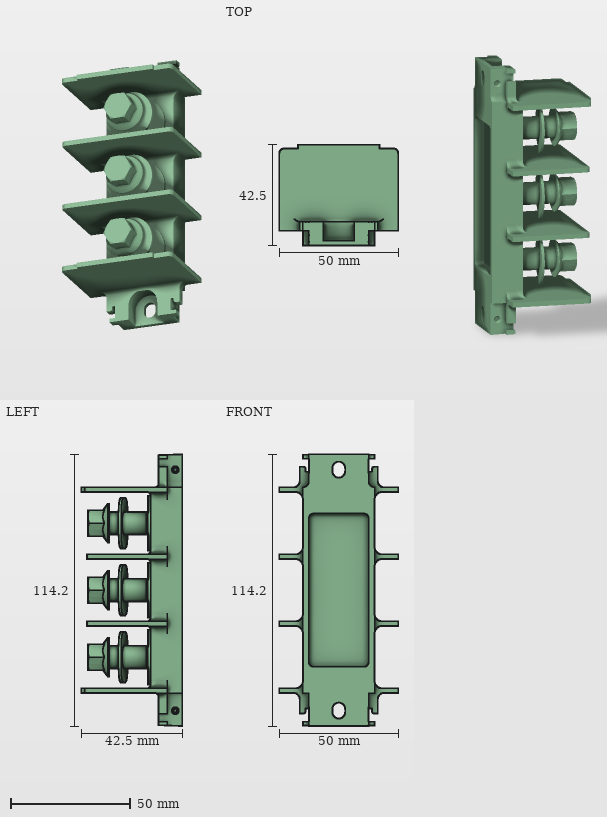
import cadquery as cq
import math


length = 114.2
body_length = 86.5
body_half_width = 15.1
body_back = 13.4
end_half_width = 12.6
end_back = 10.0
end_draft = 2.0
step_depth = 6.3
notch_radius = 2.5

ear_half_width = 16.5
ear_inner_half_width = 13.9
ear_top = 51.8
ear_floor = 49.8
ear_tip_radius = 0.9
tab_thickness = 1.9

plate_thickness = 2.0
plate_half_width = 25.0
plate_back = 40.1
end_plate_shoulder = 40.9
end_plate_back = 42.5
end_plate_tongue_half_width = 17.1
plate_corner_radius = 2.0
plate_offset = (body_length - plate_thickness) / 2
plate_pitch = 2 * plate_offset / 3
body_cove_radius = 3.1
ear_cove_radius = 2.5
back_cove_radius = 1.4

slot_offset = 50.6
slot_length = 6.6
slot_width = 5.3
counterbore_floor = 2.2
counterbore_radius = 6.5

dimple_y = 3.0
dimple_mouth_radius = 1.5
dimple_floor_radius = 0.8
dimple_depth = 1.0

pocket_half_width = 12.6
pocket_half_length = 32.2
pocket_depth = 3.8
pocket_draft = 9.0
pocket_corner_radius = 2.0
pocket_floor_fillet = 1.0

pad_radius = 11.5
pad_thickness = 1.08
pad_back = body_back + pad_thickness

screw_count = 3
shank_radius = 4.8
shank_chamfer = 0.7
flange_start = 30.7
flange_edge = 31.3
flange_radius = 8.2
cone_top = 33.3
head_top = 39.6
hex_across_flats = 11.0
hex_land_width = 1.3
head_radius = math.hypot(hex_across_flats, hex_land_width) / 2
hex_chamfer_angle = 30.0

washer_radius = 10.7
washer_thickness = 1.1
washer_middle = 24.9
washer_wave = 1.4


def box(half_width, y_start, y_end, z_start, z_end):
    """Block centred on X between two Y and two Z levels."""
    return cq.Workplane("XY").box(
        2 * half_width, y_end - y_start, z_end - z_start, centered=(True, False, False)
    ).translate((0, y_start, z_start))


def front_sketch(y):
    """Plane facing -Y at the given depth: local x is X, local y is Z, extrusion by -d goes towards +Y."""
    return cq.Workplane("XZ", origin=(0, y, 0))


def mirror_in_z(solid):
    return solid.mirror("XY")


def side_cove(half_width, radius, z, direction, y_start, y_end):
    """Block that flares by a concave arc on both sides as it comes down to the level z."""
    far_z = z + direction * radius
    sag = radius * (1 - math.sqrt(0.5))
    mid_z = z + direction * sag
    return (
        front_sketch(y_start)
        .moveTo(-half_width - radius, z)
        .threePointArc((-half_width - sag, mid_z), (-half_width, far_z))
        .lineTo(half_width, far_z)
        .threePointArc((half_width + sag, mid_z), (half_width + radius, z))
        .close()
        .extrude(y_start - y_end)
    )


def plate_cove(half_width, back, z, direction, side_radius):
    """Coves joining a plate face at level z to the sides and the back of the block it grows from."""
    sides = side_cove(half_width, side_radius, z, direction, step_depth, back + back_cove_radius)
    sag = back_cove_radius * (1 - math.sqrt(0.5))
    far_z = z + direction * side_radius
    reach = half_width + side_radius
    back_profile = (
        cq.Workplane("YZ", origin=(-reach, 0, 0))
        .moveTo(step_depth, z)
        .lineTo(back + back_cove_radius, z)
        .threePointArc((back + sag, z + direction * sag), (back, z + direction * back_cove_radius))
        .lineTo(back, far_z)
        .lineTo(step_depth, far_z)
        .close()
        .extrude(2 * reach)
    )
    return sides.intersect(back_profile)


def barrier_plate(z, back):
    """Plate centred on the level z with its two far corners rounded."""
    half = plate_thickness / 2
    plate = box(plate_half_width, step_depth, back, z - half, z + half)
    return plate.edges("|Z and >Y").fillet(plate_corner_radius)


def middle_plate():
    """Upper middle plate, coved into the body on both faces."""
    z = plate_pitch / 2
    half = plate_thickness / 2
    plate = barrier_plate(z, plate_back)
    for direction in (-1, 1):
        face_z = z + direction * half
        plate = plate.union(plate_cove(body_half_width, body_back, face_z, direction, body_cove_radius))
    return plate


def end_plate():
    """Upper end plate with a tongue on its far edge, coved into the body below and the ears above."""
    bottom = plate_offset - plate_thickness / 2
    top = plate_offset + plate_thickness / 2
    plate = barrier_plate(plate_offset, end_plate_shoulder)
    plate = plate.union(box(end_plate_tongue_half_width, step_depth, end_plate_back, bottom, top))
    plate = plate.union(plate_cove(body_half_width, body_back, bottom, -1, body_cove_radius))
    return plate.union(plate_cove(ear_half_width, end_back, top, 1, ear_cove_radius))


def left_ear():
    """Ear on the -X side, with the inner corner of its tip rounded, reaching in to the centre plane."""
    sag = ear_tip_radius * (1 - math.sqrt(0.5))
    return (
        front_sketch(step_depth)
        .moveTo(0, body_length / 2)
        .lineTo(-ear_half_width, body_length / 2)
        .lineTo(-ear_half_width, ear_top)
        .lineTo(-ear_inner_half_width - ear_tip_radius, ear_top)
        .threePointArc(
            (-ear_inner_half_width - sag, ear_top - sag),
            (-ear_inner_half_width, ear_top - ear_tip_radius),
        )
        .lineTo(-ear_inner_half_width, ear_floor)
        .lineTo(0, ear_floor)
        .close()
        .extrude(step_depth - end_back)
    )


def mounting_end():
    """Upper mounting end with its ears and tabs, under a slightly leaning end face."""
    top = length / 2
    back_top = top - end_back * math.tan(math.radians(end_draft))
    end = box(end_half_width, 0, end_back, 0, top)
    tabs = box(body_half_width, step_depth, end_back, top - tab_thickness, top)
    ear = left_ear()
    leaning_envelope = (
        cq.Workplane("YZ", origin=(-ear_half_width, 0, 0))
        .polyline([(0, 0), (end_back, 0), (end_back, back_top), (0, top)])
        .close()
        .extrude(2 * ear_half_width)
    )
    return end.union(tabs).union(ear).union(ear.mirror("YZ")).intersect(leaning_envelope)


def slot_and_counterbore():
    """Upper mounting slot and the counterbore around it, open to the end of the housing."""
    slot = (
        front_sketch(0).center(0, slot_offset).slot2D(slot_length, slot_width, 90).extrude(-end_back)
    )
    bore = (
        front_sketch(counterbore_floor)
        .center(0, slot_offset)
        .circle(counterbore_radius)
        .extrude(counterbore_floor - end_back)
    )
    opening = box(counterbore_radius, counterbore_floor, end_back, slot_offset, length / 2)
    return slot.union(bore).union(opening)


def dimples():
    """Conical dimples on both sides of the upper mounting end."""
    dimple = cq.Solid.makeCone(
        dimple_mouth_radius,
        dimple_floor_radius,
        dimple_depth,
        pnt=cq.Vector(-end_half_width, dimple_y, slot_offset),
        dir=cq.Vector(1, 0, 0),
    )
    left = cq.Workplane(obj=dimple)
    return left.union(left.mirror("YZ"))


def front_pocket():
    """Drafted pocket in the mounting face with a rounded floor edge."""
    return (
        front_sketch(0)
        .sketch()
        .rect(2 * pocket_half_width, 2 * pocket_half_length)
        .vertices()
        .fillet(pocket_corner_radius)
        .finalize()
        .extrude(-pocket_depth, taper=pocket_draft)
        .faces(">Y")
        .edges()
        .fillet(pocket_floor_fillet)
    )


def screw_levels():
    """Z of each screw axis, midway between neighbouring plates."""
    return [plate_pitch * (index - (screw_count - 1) / 2) for index in range(screw_count)]


def make_housing():
    body_end = body_length / 2
    housing = box(body_half_width, 0, body_back, -body_end, body_end)
    for upper_part in (mounting_end(), end_plate(), middle_plate()):
        housing = housing.union(upper_part).union(mirror_in_z(upper_part))
    housing = housing.union(side_cove(end_half_width, notch_radius, body_end, 1, 0, step_depth))
    for z in screw_levels():
        pad = front_sketch(body_back).center(0, z).circle(pad_radius).extrude(body_back - pad_back)
        housing = housing.union(pad)
    for cutter in (slot_and_counterbore(), dimples()):
        housing = housing.cut(cutter).cut(mirror_in_z(cutter))
    return housing.cut(front_pocket())


def shank_and_flange():
    """Turned part of the screw: chamfered shank, conical flange and round core of the head."""
    return (
        cq.Workplane("XY")
        .moveTo(0, pad_back)
        .lineTo(shank_radius - shank_chamfer, pad_back)
        .lineTo(shank_radius, pad_back + shank_chamfer)
        .lineTo(shank_radius, flange_start)
        .lineTo(flange_radius, flange_start)
        .lineTo(flange_radius, flange_edge)
        .lineTo(head_radius, cone_top)
        .lineTo(head_radius, head_top)
        .lineTo(0, head_top)
        .close()
        .revolve(360, (0, 0, 0), (0, 1, 0))
    )


def hex_head():
    """Hexagon with corners on the X axis and its outer corners chamfered."""
    corner_radius = hex_across_flats / math.sqrt(3)
    chamfer_drop = (corner_radius - head_radius) * math.tan(math.radians(hex_chamfer_angle))
    hexagon = (
        front_sketch(flange_edge).polygon(6, 2 * corner_radius).extrude(flange_edge - head_top)
    )
    envelope = (
        cq.Workplane("XY")
        .moveTo(0, flange_edge)
        .lineTo(corner_radius, flange_edge)
        .lineTo(corner_radius, head_top - chamfer_drop)
        .lineTo(head_radius, head_top)
        .lineTo(0, head_top)
        .close()
        .revolve(360, (0, 0, 0), (0, 1, 0))
    )
    return hexagon.intersect(envelope)


def curved_washer():
    """Round washer bent about Z into two tangent arcs: up on the -X side, down on the +X side."""
    half = washer_thickness / 2
    bend_radius = (washer_radius**2 + washer_wave**2) / (2 * washer_wave)
    mid_x = washer_radius / 2
    mid_rise = washer_wave - bend_radius + math.sqrt(bend_radius**2 - mid_x**2)
    low = washer_middle - half
    high = washer_middle + half
    strip = (
        cq.Workplane("XY", origin=(0, 0, -washer_radius))
        .moveTo(-washer_radius, low + washer_wave)
        .threePointArc((-mid_x, low + mid_rise), (0, low))
        .threePointArc((mid_x, low - mid_rise), (washer_radius, low - washer_wave))
        .lineTo(washer_radius, high - washer_wave)
        .threePointArc((mid_x, high - mid_rise), (0, high))
        .threePointArc((-mid_x, high + mid_rise), (-washer_radius, high + washer_wave))
        .close()
        .extrude(2 * washer_radius)
    )
    outline = front_sketch(pad_back).circle(washer_radius).extrude(pad_back - flange_start)
    return strip.intersect(outline)


def make_screw(z):
    """Screw with its washer, its axis along Y at the level z."""
    screw = shank_and_flange().union(hex_head()).union(curved_washer())
    return screw.translate((0, 0, z))


housing = make_housing()
screws = [make_screw(z) for z in screw_levels()]

result = cq.Compound.makeCompound([housing.val()] + [screw.val() for screw in screws])